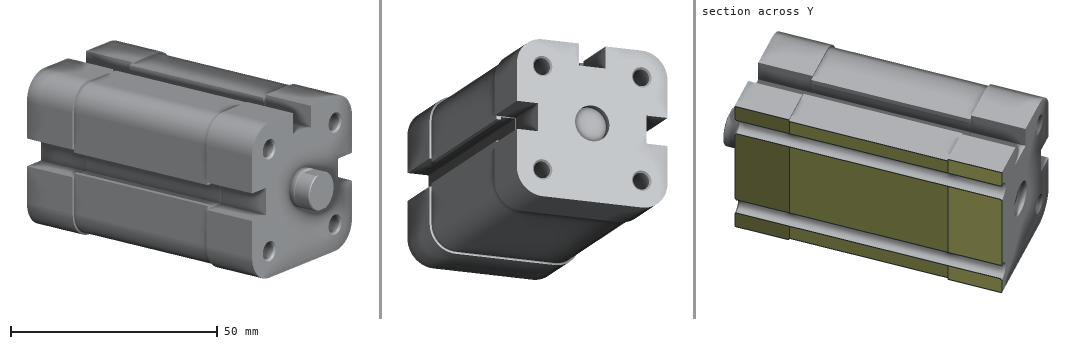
import cadquery as cq

total_length = 75.0
body_length = 69.0
cap_length = 14.0
cap_width = 39.5
tube_inset = 0.5

hole_spacing = 26.0
hole_diameter = 4.2
hole_mouth_diameter = 5.1
corner_offset = hole_spacing / 2

cap_slot_width = 7.05
cap_slot_depth = 5.55
slot_step = 0.2
lip_gap = 5.3
lip_thickness = 1.2
slot_angles = (0, 90, 270)

recess_diameter = 9.0
recess_depth = 2.1

rod_diameter = 10.0
shoulder_length = 1.35
taper_length = 0.2
rod_end_diameter = 9.8
rod_flat_width = 9.0
rod_flat_length = 4.05
rod_tip_chamfer = 0.2

tube_width = cap_width - 2 * tube_inset
tube_length = body_length - 2 * cap_length
front_cap_start = cap_length + tube_length
tube_slot_width = cap_slot_width - 2 * slot_step
tube_slot_floor = cap_width / 2 - cap_slot_depth + slot_step
lip_underside = tube_width / 2 - lip_thickness
mouth_chamfer = (hole_mouth_diameter - hole_diameter) / 2


def rounded_bar(width, start, length):
    """Square bar along X whose corner arcs are centred on the screw holes."""
    return (
        cq.Workplane("YZ", origin=(start, 0, 0))
        .rect(width, width)
        .extrude(length)
        .edges("|X")
        .fillet(width / 2 - corner_offset)
    )


def channel(width, bottom, top, start, length):
    """Rectangular bar along X, centred on y = 0, between two heights."""
    bar = cq.Workplane("XY").box(length, width, top - bottom, centered=(False, True, False))
    return bar.translate((start, 0, bottom))


def cut_on_slotted_sides(body, cutter):
    """Cut the cutter from each slotted side."""
    for angle in slot_angles:
        body = body.cut(cutter.rotate((0, 0, 0), (1, 0, 0), angle))
    return body


def cut_screw_holes(body, start, length):
    """Cut the four screw holes along the body."""
    holes = (
        cq.Workplane("YZ", origin=(start, 0, 0))
        .rect(hole_spacing, hole_spacing, forConstruction=True)
        .vertices()
        .circle(hole_diameter / 2)
        .extrude(length)
    )
    return body.cut(holes)


def make_cap(start, outer_face):
    """End cap with slots and screw holes that are chamfered at the outer face."""
    cap = rounded_bar(cap_width, start, cap_length)
    slot_floor = cap_width / 2 - cap_slot_depth
    cap = cut_on_slotted_sides(cap, channel(cap_slot_width, slot_floor, cap_width / 2, start, cap_length))
    cap = cut_screw_holes(cap, start, cap_length)
    hole_mouths = cap.faces(outer_face).edges("%CIRCLE").edges(cq.selectors.RadiusNthSelector(0))
    return hole_mouths.chamfer(mouth_chamfer)


def make_rear_cap():
    """Cap with a blind centring recess."""
    recess = cq.Workplane("YZ").circle(recess_diameter / 2).extrude(recess_depth)
    return make_cap(0, "<X").cut(recess)


def make_front_cap():
    """Cap bored through for the piston rod."""
    bore = cq.Workplane("YZ", origin=(front_cap_start, 0, 0)).circle(rod_diameter / 2).extrude(cap_length)
    return make_cap(front_cap_start, ">X").cut(bore)


def make_tube():
    """Extruded profile between the caps, with a lipped slot on each slotted side."""
    tube = rounded_bar(tube_width, cap_length, tube_length)
    opening = channel(lip_gap, tube_slot_floor, tube_width / 2, cap_length, tube_length)
    pocket = channel(tube_slot_width, tube_slot_floor, lip_underside, cap_length, tube_length)
    tube = cut_on_slotted_sides(tube, opening.union(pocket))
    return cut_screw_holes(tube, cap_length, tube_length)


def make_rod():
    """Rod through the front cap, tapering slightly to a flatted end."""
    rod_radius = rod_diameter / 2
    end_radius = rod_end_diameter / 2
    taper_start = body_length + shoulder_length
    rod = (
        cq.Workplane("XZ")
        .moveTo(front_cap_start, 0)
        .lineTo(front_cap_start, rod_radius)
        .lineTo(taper_start, rod_radius)
        .lineTo(taper_start + taper_length, end_radius)
        .lineTo(total_length - rod_tip_chamfer, end_radius)
        .lineTo(total_length, end_radius - rod_tip_chamfer)
        .lineTo(total_length, 0)
        .close()
        .revolve(360, (0, 0, 0), (1, 0, 0))
    )
    flat_height = rod_flat_width / 2
    flat_start = total_length - rod_flat_length
    ramp_top = flat_start - (rod_radius - flat_height)
    flat = (
        cq.Workplane("XZ")
        .moveTo(flat_start, flat_height)
        .lineTo(total_length, flat_height)
        .lineTo(total_length, rod_radius)
        .lineTo(ramp_top, rod_radius)
        .close()
        .extrude(rod_radius, both=True)
    )
    return rod.cut(flat).cut(flat.mirror("XY"))


rear_cap = make_rear_cap()
tube = make_tube()
front_cap = make_front_cap()
rod = make_rod()

result = cq.Compound.makeCompound([rear_cap.val(), tube.val(), front_cap.val(), rod.val()])